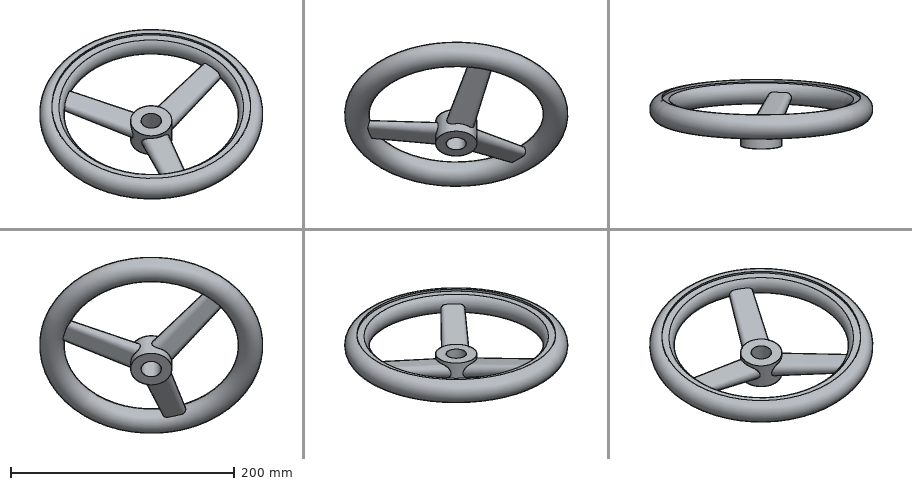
import cadquery as cq
import math

rim_outer_radius = 100.0
rim_tube_radius = 11.0
rim_step_depth = 2.0

hub_radius = 18.5
hub_height = 24.5
bore_radius = 9.0

spoke_count = 3
first_spoke_angle = 90.0
spoke_flat_width = 13.0
spoke_inner_thickness = 13.2
spoke_outer_thickness = 8.0
spoke_inner_height = 10.2

overall_height = 44.0
rim_center_radius = rim_outer_radius - rim_tube_radius
rim_center_height = overall_height - rim_tube_radius


def make_rim():
    """Revolve the stepped round section about Z as two joined half rings that meet at X = 0."""
    step_rise = rim_tube_radius - rim_step_depth
    step_width = math.sqrt(rim_tube_radius**2 - step_rise**2)
    step_height = rim_center_height + step_rise
    bottom_height = rim_center_height - rim_tube_radius
    inner_radius = rim_center_radius - rim_tube_radius

    section = (
        cq.Workplane("YZ")
        .moveTo(-rim_center_radius, overall_height)
        .threePointArc(
            (-rim_outer_radius, rim_center_height),
            (-rim_center_radius, bottom_height),
        )
        .threePointArc(
            (-inner_radius, rim_center_height),
            (-rim_center_radius + step_width, step_height),
        )
        .lineTo(-rim_center_radius, step_height)
        .close()
    )
    half_rim = section.revolve(180, (0, 0, 0), (0, 1, 0))
    other_half = half_rim.rotate((0, 0, 0), (0, 0, 1), 180)
    return half_rim.union(other_half, clean=False)


def make_hub():
    return cq.Workplane("XY").circle(hub_radius).extrude(hub_height)


def make_spoke():
    """Loft one spoke along +X between two slot-shaped sections square to its centre line."""
    rise = rim_center_height - spoke_inner_height
    spoke_length = math.hypot(rim_center_radius, rise)
    section_plane = cq.Plane(
        origin=(0, 0, spoke_inner_height),
        xDir=(0, 1, 0),
        normal=(rim_center_radius, 0, rise),
    )
    return (
        cq.Workplane(section_plane)
        .slot2D(spoke_flat_width + spoke_inner_thickness, spoke_inner_thickness)
        .workplane(offset=spoke_length)
        .slot2D(spoke_flat_width + spoke_outer_thickness, spoke_outer_thickness)
        .loft(ruled=True)
    )


def make_bore():
    return cq.Workplane("XY").circle(bore_radius).extrude(overall_height)


handwheel = make_rim().union(make_hub(), clean=False)
spoke = make_spoke()
for index in range(spoke_count):
    angle = first_spoke_angle + index * 360.0 / spoke_count
    handwheel = handwheel.union(spoke.rotate((0, 0, 0), (0, 0, 1), angle), clean=False)

result = handwheel.cut(make_bore(), clean=False)